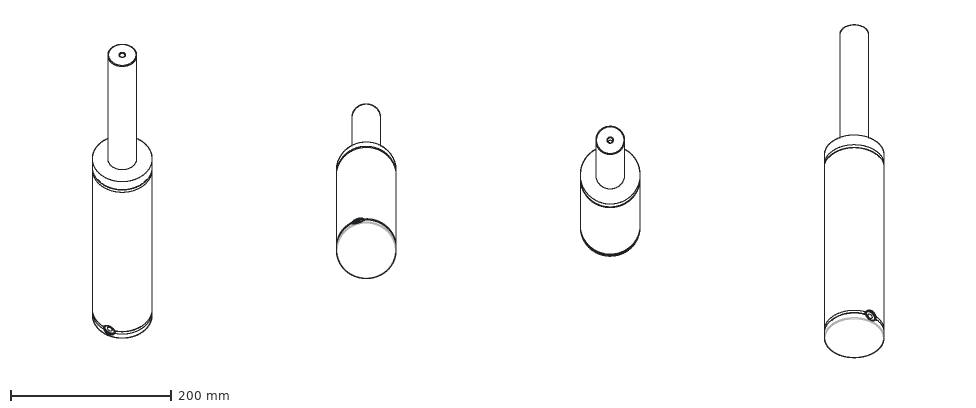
import cadquery as cq

total_height = 510.0
body_diameter = 75.0
body_height = 307.0
rod_diameter = 36.0
base_fillet = 1.0
rod_chamfer = 1.0

base_groove_bottom = 8.5
base_groove_width = 4.5
base_groove_depth = 4.0

head_thickness = 16.5
head_groove_width = 4.5
head_groove_depth = 2.0

port_boss_diameter = 16.0
port_recess_diameter = 14.0
port_recess_depth = 1.5
port_hole_diameter = 6.5
port_hole_depth = 7.5
port_setback = 1.0

rod_hole_diameter = 6.5
rod_hole_depth = 15.5
rod_hole_chamfer = 0.75

body_radius = body_diameter / 2
port_height = base_groove_bottom + base_groove_width / 2
port_face = body_radius - port_setback


def make_body():
    """Cylinder body with a rounded foot."""
    body = cq.Workplane("XY").circle(body_radius).extrude(body_height)
    return body.faces("<Z").fillet(base_fillet)


def make_rod():
    """Piston rod with a broken edge at its free end."""
    rod = cq.Workplane("XY").workplane(offset=body_height).circle(rod_diameter / 2)
    return rod.extrude(total_height - body_height).faces(">Z").chamfer(rod_chamfer)


def make_base_groove():
    """Ring of material removed by the mounting groove."""
    ring = cq.Workplane("XY").workplane(offset=base_groove_bottom)
    ring = ring.circle(body_radius + base_groove_depth).circle(body_radius - base_groove_depth)
    return ring.extrude(base_groove_width)


def make_head_groove():
    """Ring with an arc profile that cuts the shallow head groove."""
    top = body_height - head_thickness
    bottom = top - head_groove_width
    outside = body_radius + head_groove_depth
    profile = (
        cq.Workplane("XZ")
        .moveTo(outside, bottom)
        .lineTo(body_radius, bottom)
        .threePointArc((body_radius - head_groove_depth, (bottom + top) / 2), (body_radius, top))
        .lineTo(outside, top)
        .close()
    )
    return profile.revolve(360, (0, 0), (0, 1))


def port_cylinder(diameter, outer_end, length):
    """Cylinder along the port axis, running inward from outer_end."""
    plane = cq.Workplane("XZ", origin=(0, -outer_end, port_height))
    return plane.circle(diameter / 2).extrude(-length)


def add_port(part):
    """Spot-faced plug bridging the groove, with a recess and a centre hole."""
    spot_face = port_cylinder(port_boss_diameter, body_radius, port_setback)
    plug = port_cylinder(port_boss_diameter, port_face, base_groove_depth)
    recess = port_cylinder(port_recess_diameter, port_face, port_recess_depth)
    hole = port_cylinder(port_hole_diameter, port_face, port_recess_depth + port_hole_depth)
    return part.cut(spot_face).union(plug).cut(recess).cut(hole)


def drill_rod_end(part):
    """Blind hole in the rod end with a countersunk mouth."""
    countersink_diameter = rod_hole_diameter + 2 * rod_hole_chamfer
    return part.faces(">Z").workplane().cskHole(
        rod_hole_diameter, countersink_diameter, 90, rod_hole_depth
    )


result = make_body().union(make_rod()).cut(make_base_groove()).cut(make_head_groove())
result = drill_rod_end(add_port(result))